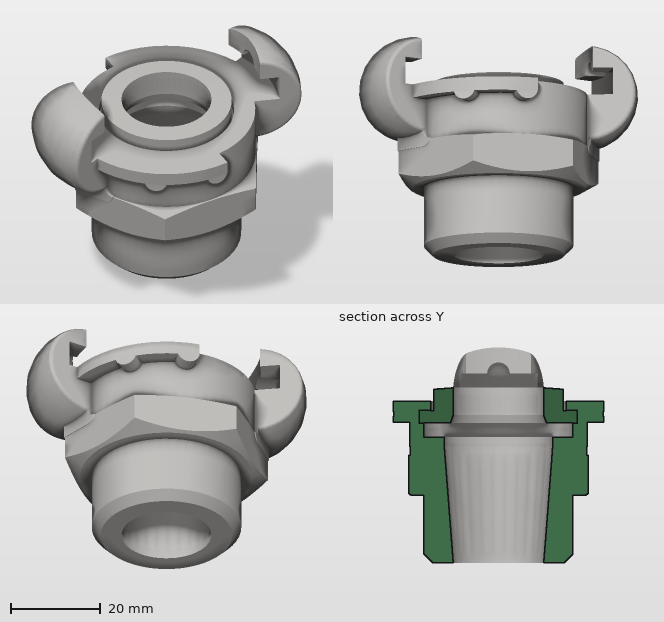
import cadquery as cq
import math

SPIGOT_DIA = 33.3
SPIGOT_CHAMFER = 2.0
BORE_DIA = 24.0
BORE_BOTTOM_DIA = 20.0
BORE_TAPER_TOP = 26.05

HEX_FLATS = 40.0
HEX_BOTTOM = 14.95
HEX_TOP = 24.0
HEX_CORNER_DIA = HEX_FLATS / math.cos(math.radians(30))
HEX_BOTTOM_DIA = 38.5
HEX_BOTTOM_CHAMFER = 2.25
HEX_TOP_CHAMFER = 0.95

BARREL_RADIUS = 19.75
FLANGE_RADIUS = 23.49
FLANGE_BOTTOM = 33.0
DECK = 36.05
CAM_RADIUS = 2.5
CAM_BOTTOM = 31.25
CAM_AXIS_Z = CAM_BOTTOM + CAM_RADIUS
SECOND_CAM_ANGLE = 35

CLAW_HALF_ANGLE = 20
CLAW_REACH = 31.45
CLAW_SECTION_RADIUS = 11.65
CLAW_CROWN_RADIUS = 20.0
CLAW_AXIS_Y = CLAW_REACH - CLAW_SECTION_RADIUS
CLAW_AXIS_Z = 36.35
CLAW_EDGE_FILLET = 0.75
LIP_RADIUS = 21.0
THROAT_RADIUS = 25.5
LIP_BOTTOM = 42.1
ROOT_BOTTOM = 22.3
ROOT_TOP = 26.4
ROOT_NECK_WIDTH = 13.6
ROOT_FLARE = 1.65
ROOT_FLARE_TOP = 25.8
ROOT_HEX_FLATS = 40.4

SEAL_OPENING_DIA = 30.0
SEAL_NECK_DIA = 29.0
SEAL_BORE_DIA = 20.0
SEAL_FOOT_DIA = 35.0
SEAL_FOOT_BOTTOM = 31.1
SEAL_FOOT_TOP = 33.95
SEAL_FLARE = 0.6
SEAL_FLARE_TOP = 32.9
SEAL_RIM = 38.7
SEAL_TOP = 39.0
SEAT_POCKET_DIA = 33.0
SEAT_LEDGE = 28.05

CUT_SIZE = 75.45


def disc(diameter, bottom, top):
    return cq.Workplane("XY").workplane(offset=bottom).circle(diameter / 2).extrude(top - bottom)


def wedge(half_angle, bottom, top):
    """Sector about +Y with its tip on the coupling axis."""
    half_width = CUT_SIZE * math.tan(math.radians(half_angle))
    outline = [(0, 0), (half_width, CUT_SIZE), (-half_width, CUT_SIZE)]
    return cq.Workplane("XY").workplane(offset=bottom).polyline(outline).close().extrude(top - bottom)


def half_turn(shape):
    return shape.rotate((0, 0, 0), (0, 0, 1), 180)


def hex_prism(flats, bottom, top):
    corner_dia = flats / math.cos(math.radians(30))
    prism = cq.Workplane("XY").workplane(offset=bottom).polygon(6, corner_dia).extrude(top - bottom)
    return prism.rotate((0, 0, 0), (0, 0, 1), 30)


def make_spigot():
    return disc(SPIGOT_DIA, 0, HEX_BOTTOM).faces("<Z").chamfer(SPIGOT_CHAMFER)


def make_hexagon():
    corner = HEX_CORNER_DIA / 2
    profile = [
        (0, HEX_BOTTOM),
        (HEX_BOTTOM_DIA / 2, HEX_BOTTOM),
        (corner, HEX_BOTTOM + HEX_BOTTOM_CHAMFER),
        (corner, HEX_TOP - HEX_TOP_CHAMFER),
        (BARREL_RADIUS, HEX_TOP),
        (0, HEX_TOP),
    ]
    envelope = cq.Workplane("XZ").polyline(profile).close().revolve(360, (0, 0), (0, 1))
    return hex_prism(HEX_FLATS, HEX_BOTTOM, HEX_TOP).intersect(envelope)


def make_cam(angle):
    """Radial half-round rib under the flange; angle is measured from -X towards +Y."""
    cam = cq.Workplane("YZ").center(0, CAM_AXIS_Z).circle(CAM_RADIUS).extrude(-CUT_SIZE)
    envelope = disc(2 * FLANGE_RADIUS, CAM_BOTTOM, DECK)
    return cam.rotate((0, 0, 0), (0, 0, 1), -angle).intersect(envelope)


def make_flange():
    """Flange on the -X side, from its square end to the claw at +Y."""
    claw_x = CUT_SIZE * math.sin(math.radians(CLAW_HALF_ANGLE))
    claw_y = CUT_SIZE * math.cos(math.radians(CLAW_HALF_ANGLE))
    sector = (
        cq.Workplane("XY")
        .workplane(offset=FLANGE_BOTTOM)
        .polyline([
            (0, -CAM_RADIUS),
            (-CUT_SIZE, -CAM_RADIUS),
            (-CUT_SIZE, claw_y),
            (-claw_x, claw_y),
            (0, 0),
        ])
        .close()
        .extrude(DECK - FLANGE_BOTTOM)
    )
    end_relief = (
        cq.Workplane("XY")
        .box(CUT_SIZE, CAM_RADIUS, CAM_AXIS_Z - FLANGE_BOTTOM, centered=(True, False, False))
        .translate((0, -CAM_RADIUS, FLANGE_BOTTOM))
    )
    flange = disc(2 * FLANGE_RADIUS, FLANGE_BOTTOM, DECK).intersect(sector).cut(end_relief)
    return flange.union(make_cam(0)).union(make_cam(SECOND_CAM_ANGLE))


def make_claw_root():
    """Foot that carries the claw onto a hexagon corner, flared and rounded at both sides."""
    neck = ROOT_NECK_WIDTH / 2
    foot = neck + ROOT_FLARE
    flare_bottom = ROOT_FLARE_TOP - ROOT_FLARE
    rounding_start = foot - (flare_bottom - ROOT_BOTTOM)
    front = (
        cq.Workplane("XZ")
        .moveTo(-neck, ROOT_TOP)
        .lineTo(-neck, ROOT_FLARE_TOP)
        .radiusArc((-foot, flare_bottom), ROOT_FLARE)
        .radiusArc((-rounding_start, ROOT_BOTTOM), -(foot - rounding_start))
        .lineTo(rounding_start, ROOT_BOTTOM)
        .radiusArc((foot, flare_bottom), -(foot - rounding_start))
        .radiusArc((neck, ROOT_FLARE_TOP), ROOT_FLARE)
        .lineTo(neck, ROOT_TOP)
        .close()
        .extrude(-CUT_SIZE)
    )
    return hex_prism(ROOT_HEX_FLATS, ROOT_BOTTOM, ROOT_TOP).intersect(front)


def make_claw():
    """Crowned hook at +Y, open towards the coupling axis."""
    half_length = CLAW_SECTION_RADIUS
    drop = CLAW_CROWN_RADIUS - math.sqrt(CLAW_CROWN_RADIUS ** 2 - half_length ** 2)
    crown_end = CLAW_REACH - drop
    barrel = (
        cq.Workplane("XY")
        .workplane(offset=CLAW_AXIS_Z)
        .moveTo(-half_length, CLAW_AXIS_Y)
        .lineTo(-half_length, crown_end)
        .threePointArc((0, CLAW_REACH), (half_length, crown_end))
        .lineTo(half_length, CLAW_AXIS_Y)
        .close()
        .revolve(360, (0, CLAW_AXIS_Y), (1, CLAW_AXIS_Y))
    )
    claw = barrel.intersect(wedge(CLAW_HALF_ANGLE, 0, CUT_SIZE))
    claw = claw.cut(disc(2 * LIP_RADIUS, DECK, CUT_SIZE)).cut(disc(2 * (BARREL_RADIUS - 0.6), 0, DECK))
    crown_edges = [
        edge for edge in claw.edges().vals()
        if edge.Center().y > LIP_RADIUS and abs(edge.Center().x) > CLAW_SECTION_RADIUS / 2
        and edge.Length() > CLAW_SECTION_RADIUS
    ]
    claw = claw.newObject(crown_edges).fillet(CLAW_EDGE_FILLET)
    claw = claw.cut(disc(2 * THROAT_RADIUS, DECK, LIP_BOTTOM))
    groove = (
        cq.Workplane("XZ")
        .center(0, LIP_BOTTOM)
        .circle(CAM_RADIUS)
        .extrude(-THROAT_RADIUS)
        .intersect(disc(2 * THROAT_RADIUS, 0, CUT_SIZE))
    )
    return claw.cut(groove).union(make_claw_root())


def make_bore():
    profile = [
        (0, 0),
        (BORE_BOTTOM_DIA / 2, 0),
        (BORE_DIA / 2, BORE_TAPER_TOP),
        (BORE_DIA / 2, DECK),
        (0, DECK),
    ]
    return cq.Workplane("XZ").polyline(profile).close().revolve(360, (0, 0), (0, 1))


def make_hub():
    hub = make_spigot().union(make_hexagon()).union(disc(2 * BARREL_RADIUS, HEX_TOP, DECK))
    for side_part in (make_flange(), make_claw()):
        hub = hub.union(side_part).union(half_turn(side_part))
    hub = hub.cut(make_bore())
    hub = hub.cut(disc(SEAT_POCKET_DIA, SEAT_LEDGE, SEAL_FOOT_BOTTOM))
    hub = hub.cut(disc(SEAL_FOOT_DIA, SEAL_FOOT_BOTTOM, SEAL_FOOT_TOP))
    return hub.cut(disc(SEAL_OPENING_DIA, SEAL_FOOT_TOP, DECK))


def make_seal():
    """Sealing ring, held by its foot in the hub groove, with a slightly conical face."""
    bore = SEAL_BORE_DIA / 2
    neck = SEAL_NECK_DIA / 2
    foot = SEAL_FOOT_DIA / 2
    profile = [
        (bore + SEAL_FLARE, SEAL_FOOT_BOTTOM),
        (foot, SEAL_FOOT_BOTTOM),
        (foot, SEAL_FOOT_TOP),
        (neck, SEAL_FOOT_TOP),
        (neck, SEAL_RIM),
        (bore, SEAL_TOP),
        (bore, SEAL_FLARE_TOP),
    ]
    return cq.Workplane("XZ").polyline(profile).close().revolve(360, (0, 0), (0, 1))


hub = make_hub()
seal = make_seal()
result = cq.Compound.makeCompound([*hub.solids().vals(), seal.val()])